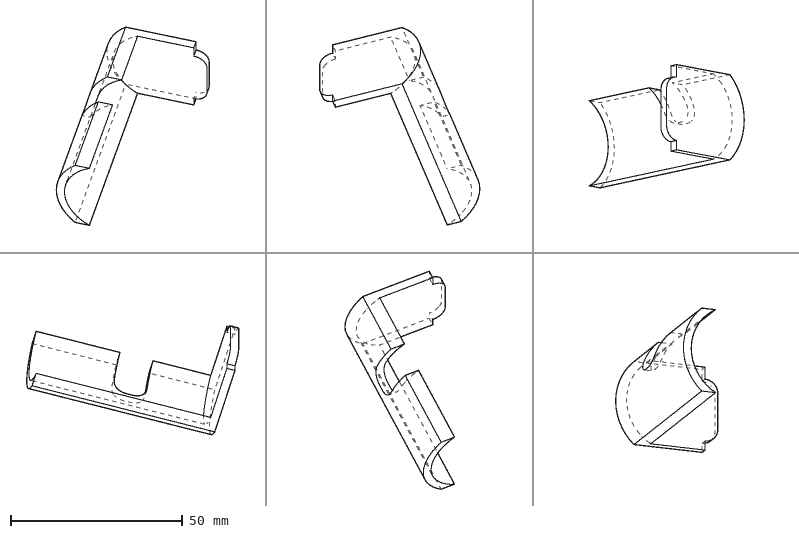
import cadquery as cq
import math

length = 55.5
height = 25.4
width = 31.0
wall = 2.5
outer_radius = 17.0
inner_radius = outer_radius - wall
half_height = height / 2
left_x = -outer_radius

tab_reach = 4.0
tab_height = 18.9
tab_center_z = -0.45
tab_corner_radius = 4.0
shoulder_x = left_x + width - tab_reach

slot_width = 10.0
slot_back_offset = 20.05
slot_floor_z = 2.6
slot_corner_radius = 4.0


def arc_x(radius):
    """X where a circle about the shell axis meets the upper and lower edges."""
    return -math.sqrt(radius**2 - half_height**2)


def make_shell():
    """Curved wall of constant thickness, cut flat at top and bottom."""
    outer_x = arc_x(outer_radius)
    inner_x = arc_x(inner_radius)
    return (
        cq.Workplane("XZ")
        .moveTo(outer_x, half_height)
        .threePointArc((-outer_radius, 0), (outer_x, -half_height))
        .lineTo(inner_x, -half_height)
        .threePointArc((-inner_radius, 0), (inner_x, half_height))
        .close()
        .extrude(length)
    )


def make_end_plate():
    """Plate closing the back end, with a round left side and a tab on the right."""
    outer_x = arc_x(outer_radius)
    plate = (
        cq.Workplane("XZ")
        .moveTo(outer_x, half_height)
        .threePointArc((-outer_radius, 0), (outer_x, -half_height))
        .lineTo(shoulder_x, -half_height)
        .lineTo(shoulder_x, half_height)
        .close()
        .extrude(wall)
    )
    tab_start_x = shoulder_x - tab_corner_radius
    tab_length = tab_reach + tab_corner_radius
    tab = (
        cq.Workplane("XZ")
        .center(tab_start_x + tab_length / 2, tab_center_z)
        .rect(tab_length, tab_height)
        .extrude(wall)
        .edges("|Y and >X")
        .fillet(tab_corner_radius)
    )
    return plate.union(tab)


def make_slot():
    """Cutter for the slot: open at the top, with rounded lower corners."""
    slot_height = half_height - slot_floor_z
    return (
        cq.Workplane("YZ", origin=(left_x, 0, 0))
        .center(-slot_back_offset - slot_width / 2, slot_floor_z + slot_height / 2)
        .rect(slot_width, slot_height)
        .extrude(outer_radius)
        .edges("|X and <Z")
        .fillet(slot_corner_radius)
    )


result = make_shell().cut(make_slot()).union(make_end_plate())